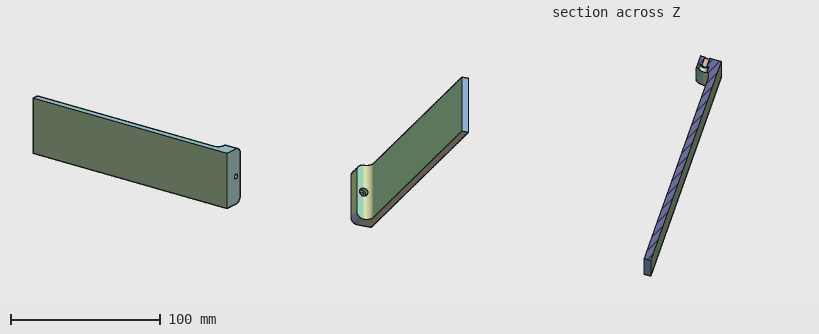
import cadquery as cq

length = 162.5
depth = 15.0
height = 40.0

plate_thickness = depth / 3
lip_length = 2 * plate_thickness
inner_radius = plate_thickness
corner_radius = plate_thickness

hole_diameter = 3.2
counterbore_diameter = 5.7
counterbore_depth = 3.2
hole_y = plate_thickness + inner_radius

lip_face_x = length - lip_length


def make_body():
    """Plate with an upright lip at its +X end, joined by a concave fillet."""
    return (
        cq.Workplane("XY")
        .moveTo(0, 0)
        .lineTo(length, 0)
        .lineTo(length, depth)
        .lineTo(lip_face_x, depth)
        .lineTo(lip_face_x, plate_thickness + inner_radius)
        .radiusArc((lip_face_x - inner_radius, plate_thickness), inner_radius)
        .lineTo(0, plate_thickness)
        .close()
        .extrude(height)
    )


def round_lip_corners(body):
    """Round the top and bottom outer corners of the lip."""
    return body.faces(">Y").edges("|X").fillet(corner_radius)


def cylinder_along_x(diameter, start_x, end_x):
    """Cylinder on the hole axis between two X positions."""
    return (
        cq.Workplane("YZ", origin=(start_x, hole_y, height / 2))
        .circle(diameter / 2)
        .extrude(end_x - start_x)
    )


def cut_stepped_hole(body):
    """Through hole with a counterbore entering from the inner side of the lip."""
    cut_start_x = lip_face_x - inner_radius
    through = cylinder_along_x(hole_diameter, cut_start_x, length)
    counterbore = cylinder_along_x(
        counterbore_diameter, cut_start_x, lip_face_x + counterbore_depth
    )
    return body.cut(through).cut(counterbore)


result = cut_stepped_hole(round_lip_corners(make_body()))